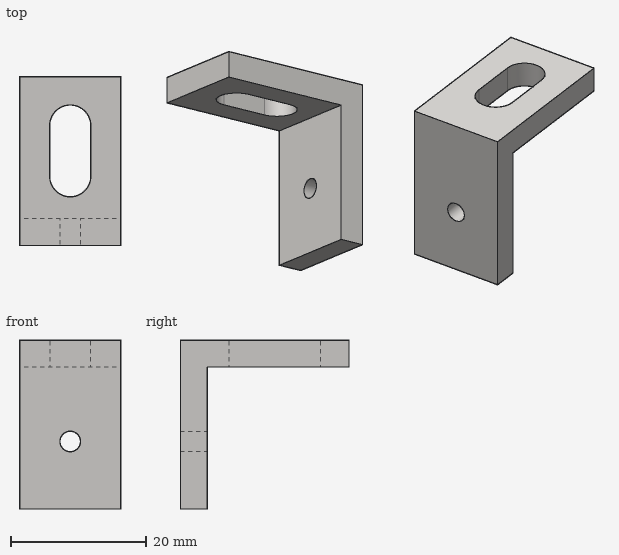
import cadquery as cq

width = 15.0
leg_length = 25.0
thickness = 4.0

slot_width = 6.05
slot_length = 13.55
slot_center_from_front = 14.0

hole_diameter = 3.0
hole_center_height = 10.0


def angle_body():
    """L-shaped bracket, centred on X, front face at Y = 0 and foot at Z = 0."""
    top_leg = cq.Workplane("XY").box(width, leg_length, thickness, centered=(True, False, False))
    top_leg = top_leg.translate((0, 0, leg_length - thickness))
    front_leg = cq.Workplane("XY").box(width, thickness, leg_length, centered=(True, False, False))
    return top_leg.union(front_leg).clean()


def slot_cutter():
    """Rounded slot running front to back, cutting down through the top leg."""
    return (
        cq.Workplane("XY", origin=(0, slot_center_from_front, leg_length))
        .slot2D(slot_length, slot_width, angle=90)
        .extrude(-thickness)
    )


def hole_cutter():
    """Cylinder through the front leg; the XZ normal points to -Y."""
    return (
        cq.Workplane("XZ", origin=(0, 0, hole_center_height))
        .circle(hole_diameter / 2)
        .extrude(-thickness)
    )


result = angle_body().cut(slot_cutter()).cut(hole_cutter())